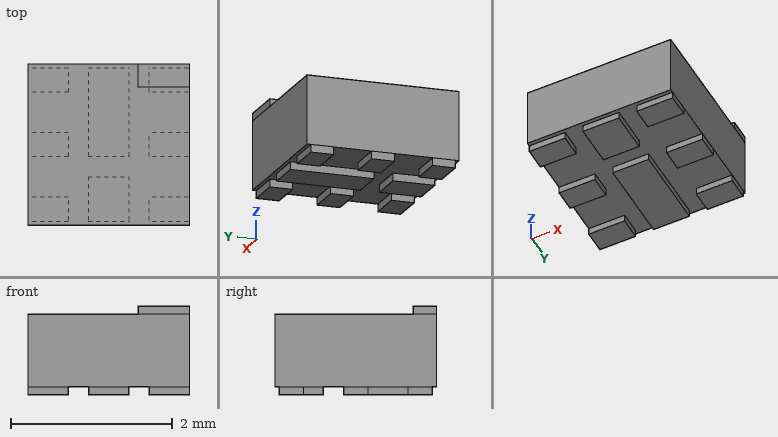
import cadquery as cq

package_side = 2.0
package_height = 0.9

marker_length = 0.635
marker_width = 0.288
marker_height = 0.1

pad_thickness = 0.1
pad_length = 0.5
side_pad_width = 0.3
front_pad_width = 0.55
edge_inset = 0.05

pad_span = package_side - 2 * edge_inset
pad_back = edge_inset + pad_span
middle_pad_x = (package_side - pad_length) / 2
side_columns = [0, package_side - pad_length]
row_pitch = (pad_span - side_pad_width) / 2
side_rows = [edge_inset + row * row_pitch for row in range(3)]

back_pad_start = side_rows[1]
back_pad_width = pad_back - back_pad_start


def block(x, y, z, length, width, height):
    """Box with its lowest corner at (x, y, z)."""
    return cq.Workplane("XY").box(length, width, height, centered=False).translate((x, y, z))


def pad(x, y, width):
    """Terminal pad hanging from the package underside."""
    return block(x, y, -pad_thickness, pad_length, width, pad_thickness)


package = block(0, 0, 0, package_side, package_side, package_height)

marker = block(
    package_side - marker_length,
    package_side - marker_width,
    package_height,
    marker_length,
    marker_width,
    marker_height,
)

side_pads = [pad(x, y, side_pad_width) for x in side_columns for y in side_rows]
front_middle_pad = pad(middle_pad_x, edge_inset, front_pad_width)
back_middle_pad = pad(middle_pad_x, back_pad_start, back_pad_width)

result = cq.Compound.makeCompound([
    package.val(),
    marker.val(),
    *[side_pad.val() for side_pad in side_pads],
    front_middle_pad.val(),
    back_middle_pad.val(),
])